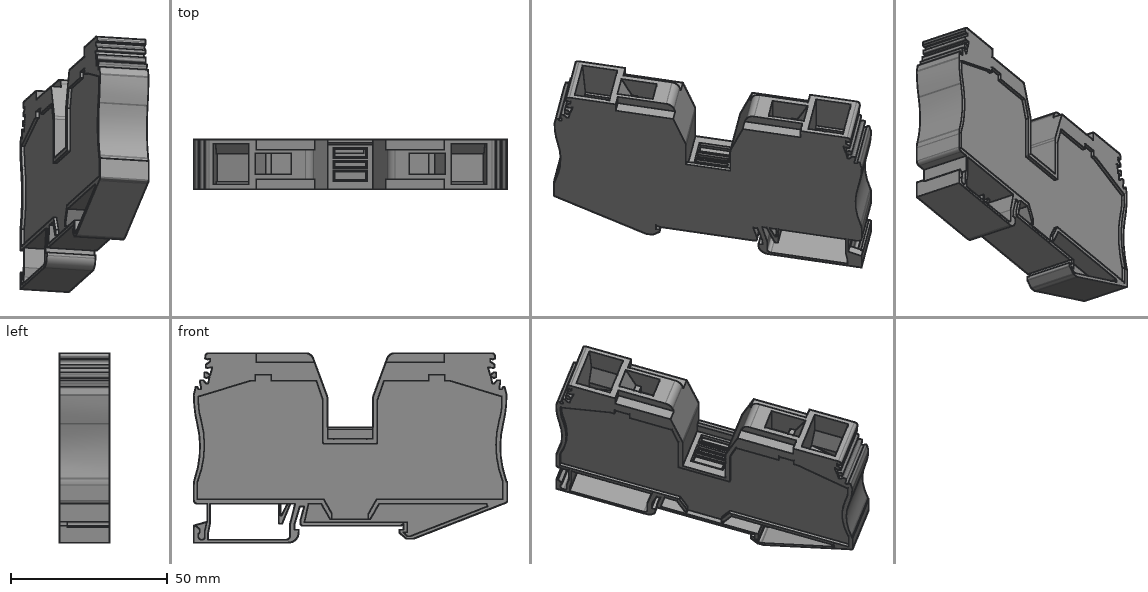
import cadquery as cq
import math

HALF_WIDTH = 49.9
SKIRT_X = 50.1
THICKNESS = 16.0
TOP_Z = 60.5
BODY_BOTTOM = 12.4
OVERLAP = 1.0

NOTCH_HALF = 7.2
DECK_Z = 33.1
SLANT_Z = 46.4
SHOULDER_X = 12.4
SHOULDER_RADIUS = 2.7

WAIST_X = 46.7
WAIST_Z = 29.2
WAIST_LOW_Z = 19.5
WAIST_HIGH_Z = 42.5
WAIST_RADIUS = 31.5
LOWER_BULGE_RADIUS = 6.0
UPPER_BULGE_RADIUS = 38.0
INNER_BULGE_RADIUS = 19.0

RIM = 1.2
UPPER_RIM = 1.5
WAIST_RIM = 1.7
NOTCH_RIM = 1.5
RECESS_DEPTH = 1.0
RECESS_BOTTOM = 13.8
RECESS_TOP = 51.7
TAB_TOP = 53.6
TAB_OUTER = 30.2
TAB_INNER = 25.1
PLATE_FOOT_Z = 7.5

POCKET_DEPTH = 6.4
BASE_BOTTOM = 5.4
BASE_FLOOR = 6.6
CLAW_TIP_Z = 4.2
SLOT_TOP = 11.5

STRIP_HEIGHT = 1.0
LIP_Z = 5.5
LEG_OUTER = 45.6
LEG_INNER = 44.7
GROOVE_END_Y = 13.5

FIN_FRONT = 8.0
FIN_OVERLAP = 0.2

LEDGE_OUTER = 30.0
LEDGE_WIDTH = 3.3
LEDGE_Z = 57.5

WIRE_OUTER = 43.6
WIRE_INNER = 32.3
WIRE_FRONT = 1.6
WIRE_BACK = 14.6
WIRE_SIDE_TAPER = 1.2
WIRE_BORE_FRONT = 2.5
WIRE_BORE_BACK = 11.4
WIRE_BACK_TAPER_TOP = 8.7
WIRE_BACK_TAPER_END = 12.9
WIRE_LEDGE_DEPTH = 12.5
WIRE_LEDGE_DROP = 0.1
WIRE_DEPTH = 16.0
WIRE_FLOOR_TILT = math.radians(17)

DRIVER_OUTER = 30.3
DRIVER_INNER = 18.8
DRIVER_FRONT = 4.9
DRIVER_BACK = 11.5
DRIVER_SLOPE_WIDTH = 3.4
DRIVER_SLOPE_DEPTH = 7.0
DRIVER_LEDGE_WIDTH = 1.8
DRIVER_DEPTH = 10.0

RAIL_FRONT = 14.2
RAIL_Z = 36.9
RAIL_CHAMFER = 0.7
BRIDGE_HALF = 5.4
BRIDGE_DEPTH = 1.5
BRIDGE_CHAMFER = 0.5
BRIDGE_SPANS = [(2.6, 6.2), (6.8, 9.2), (9.9, 13.3)]
BRIDGE_STEP_Y = 11.6
BRIDGE_STEP_X = 4.4
BRIDGE_STEP_HEIGHT = 0.8


def rounded_wire(plane, corners):
    """Closed outline through (u, v) corners; a corner given as (u, v, r) is rounded to radius r."""
    path = []
    for index, corner in enumerate(corners):
        here = cq.Vector(corner[0], corner[1])
        if len(corner) == 2:
            path.append((here,))
            continue
        before = corners[index - 1]
        after = corners[(index + 1) % len(corners)]
        to_before = (cq.Vector(before[0], before[1]) - here).normalized()
        to_after = (cq.Vector(after[0], after[1]) - here).normalized()
        half_angle = to_before.getAngle(to_after) / 2
        radius = corner[2]
        setback = radius / math.tan(half_angle)
        bisector = (to_before + to_after).normalized()
        middle = here + bisector * (radius / math.sin(half_angle) - radius)
        path.append((here + to_before * setback, middle, here + to_after * setback))

    outline = cq.Workplane(plane).moveTo(path[0][-1].x, path[0][-1].y)
    for stop in path[1:] + path[:1]:
        outline = outline.lineTo(stop[0].x, stop[0].y)
        if len(stop) == 3:
            outline = outline.threePointArc((stop[1].x, stop[1].y), (stop[2].x, stop[2].y))
    return outline.close()


def prism_y(corners, front, back):
    """Solid with an X-Z outline, running from Y = front to Y = back."""
    return rounded_wire("XZ", corners).extrude(-(back - front)).translate((0, front, 0))


def prism_x(corners, left, right):
    """Solid with a Y-Z outline, running from X = left to X = right."""
    return rounded_wire("YZ", corners).extrude(right - left).translate((left, 0, 0))


def box(left, right, front, back, bottom, top):
    block = cq.Workplane("XY").box(right - left, back - front, top - bottom, centered=False)
    return block.translate((left, front, bottom))


def both_sides(left_half):
    return left_half.union(left_half.mirror("YZ"))


def main_body():
    grip_teeth = [
        (-49.3, 49.7, 0.3),
        (-48.7, 49.7, 0.3),
        (-48.4, 49.0),
        (-47.5, 49.0, 0.3),
        (-47.9, 51.0),
        (-47.9, 51.9, 0.4),
        (-46.9, 51.9, 0.4),
        (-45.8, 50.7, 0.3),
        (-45.3, 50.9),
        (-44.9, 52.9),
        (-45.8, 52.5, 0.3),
        (-46.6, 52.8, 0.3),
        (-46.6, 54.4, 0.5),
        (-45.8, 54.4, 0.3),
        (-44.7, 53.4),
        (-44.0, 55.9),
        (-45.6, 55.7),
        (-46.1, 55.9, 0.2),
        (-46.1, 56.8),
        (-44.7, 57.8, 0.3),
        (-44.7, 58.7),
        (-45.5, 58.4),
        (-46.3, 58.8),
    ]
    end_face = [
        (-HALF_WIDTH, BODY_BOTTOM, 1.2),
        (-HALF_WIDTH, WAIST_LOW_Z, LOWER_BULGE_RADIUS),
        (-WAIST_X, WAIST_Z, WAIST_RADIUS),
        (-HALF_WIDTH, WAIST_HIGH_Z, UPPER_BULGE_RADIUS),
        (-HALF_WIDTH, 47.3),
    ]
    top_and_notch = [
        (-46.1, TOP_Z, 1.1),
        (-SHOULDER_X, TOP_Z, SHOULDER_RADIUS),
        (-NOTCH_HALF, SLANT_Z, 3.0),
        (-NOTCH_HALF, DECK_Z),
        (0, DECK_Z),
        (0, BODY_BOTTOM),
    ]
    return both_sides(prism_y(end_face + grip_teeth + top_and_notch, 0, THICKNESS))


def rail_base():
    corners = [
        (-13.5, BODY_BOTTOM + OVERLAP),
        (-17.2, BODY_BOTTOM + OVERLAP),
        (-17.2, SLOT_TOP),
        (-14.7, SLOT_TOP),
        (-15.9, 7.2),
        (-15.9, BASE_BOTTOM, 0.8),
        (16.1, BASE_BOTTOM),
        (17.0, 6.0),
        (17.0, CLAW_TIP_Z),
        (15.7, CLAW_TIP_Z),
        (15.7, 3.1, 0.3),
        (18.0, 1.2, 0.5),
        (20.1, 1.2, 1.5),
        (SKIRT_X, 12.9, 0.6),
        (SKIRT_X, WAIST_LOW_Z),
        (45.0, WAIST_LOW_Z),
        (45.0, BODY_BOTTOM + OVERLAP),
    ]
    return prism_y(corners, 0, THICKNESS)


def base_pocket():
    corners = [
        (-14.6, BASE_FLOOR),
        (-13.3, BODY_BOTTOM),
        (-9.2, BODY_BOTTOM),
        (-6.4, PLATE_FOOT_Z),
        (6.4, PLATE_FOOT_Z),
        (9.2, BODY_BOTTOM),
        (43.5, BODY_BOTTOM),
        (43.8, 11.6),
        (19.2, 2.1, 0.8),
        (18.2, 2.1),
        (17.0, 3.3),
        (18.2, 3.3),
        (18.2, BASE_FLOOR),
    ]
    return prism_y(corners, 0, POCKET_DEPTH)


def face_recess():
    rim_x = HALF_WIDTH - RIM
    upper_rim_x = HALF_WIDTH - UPPER_RIM
    notch_rim_x = NOTCH_HALF + NOTCH_RIM
    notch_rim_z = DECK_Z - NOTCH_RIM
    corners = [
        (0, PLATE_FOOT_Z),
        (-5.8, PLATE_FOOT_Z),
        (-5.8, 9.2),
        (-8.4, RECESS_BOTTOM),
        (-rim_x, RECESS_BOTTOM),
        (-rim_x, WAIST_LOW_Z),
        (-WAIST_X + WAIST_RIM, WAIST_Z, WAIST_RADIUS),
        (-upper_rim_x, WAIST_HIGH_Z, INNER_BULGE_RADIUS),
        (-upper_rim_x, 46.6),
        (-31.7, RECESS_TOP),
        (-TAB_OUTER, RECESS_TOP),
        (-TAB_OUTER, TAB_TOP),
        (-TAB_INNER, TAB_TOP),
        (-TAB_INNER, RECESS_TOP),
        (-10.8, RECESS_TOP),
        (-notch_rim_x, 45.6),
        (-notch_rim_x, notch_rim_z, 0.4),
        (0, notch_rim_z),
    ]
    return both_sides(prism_y(corners, 0, RECESS_DEPTH))


def spring_foot():
    groove_side = LEG_OUTER + 0.2
    groove_top = LIP_Z + 2.5
    outer = [
        (-LEG_OUTER, BODY_BOTTOM + OVERLAP),
        (-LEG_OUTER, 6.7),
        (-HALF_WIDTH, LIP_Z),
        (-HALF_WIDTH, 0),
        (-19.8, 0),
        (-16.4, 0, 3.3),
        (-16.4, CLAW_TIP_Z),
        (-17.7, CLAW_TIP_Z),
        (-17.7, 6.0),
        (-15.9, 12.0),
        (-15.9, BODY_BOTTOM + OVERLAP),
    ]
    window = [
        (-LEG_INNER, BODY_BOTTOM),
        (-LEG_INNER, 6.0),
        (-45.3, 3.0),
        (-45.3, STRIP_HEIGHT),
        (-19.2, STRIP_HEIGHT, 1.2),
        (-19.2, 6.0),
        (-17.6, BODY_BOTTOM),
    ]
    groove = [
        (-HALF_WIDTH, groove_top),
        (-HALF_WIDTH, 5.0),
        (-49.2, 5.4),
        (-48.0, 4.3),
        (-48.0, 3.3),
        (-48.4, 2.8),
        (-48.4, STRIP_HEIGHT, 0.9),
        (-46.3, STRIP_HEIGHT, 0.9),
        (-46.3, 4.0),
        (-groove_side, 6.3),
        (-groove_side, groove_top),
    ]
    foot = prism_y(outer, 0, THICKNESS)
    foot = foot.cut(prism_y(window, 0, THICKNESS))
    return foot.cut(prism_y(groove, 0, GROOVE_END_Y))


def stop_fin():
    outer = [
        (-22.8, BODY_BOTTOM + FIN_OVERLAP),
        (-22.8, 6.0, 0.5),
        (-21.7, 6.0, 0.5),
        (-19.0, BODY_BOTTOM + FIN_OVERLAP),
    ]
    hollow = [(-22.2, BODY_BOTTOM), (-22.2, 8.7), (-21.9, 8.7), (-20.0, BODY_BOTTOM)]
    return prism_y(outer, FIN_FRONT, THICKNESS).cut(prism_y(hollow, FIN_FRONT, THICKNESS))


def shoulder_ledges():
    front_ledge = box(-LEDGE_OUTER, 0, 0, LEDGE_WIDTH, LEDGE_Z, TOP_Z)
    back_ledge = front_ledge.translate((0, THICKNESS - LEDGE_WIDTH, 0))
    return both_sides(front_ledge.union(back_ledge))


def wire_funnels():
    bore_outer = WIRE_OUTER - WIRE_SIDE_TAPER
    floor_rise = (bore_outer - WIRE_INNER) * math.tan(WIRE_FLOOR_TILT)
    floor_z = TOP_Z - WIRE_DEPTH
    ledge_z = TOP_Z - WIRE_LEDGE_DEPTH
    side_shape = [
        (-WIRE_INNER, TOP_Z),
        (-WIRE_OUTER, TOP_Z),
        (-bore_outer, floor_z),
        (-WIRE_INNER, floor_z + floor_rise),
    ]
    cross_shape = [
        (WIRE_FRONT, TOP_Z),
        (WIRE_BACK, TOP_Z),
        (WIRE_BACK, TOP_Z - WIRE_BACK_TAPER_TOP),
        (WIRE_BORE_BACK, TOP_Z - WIRE_BACK_TAPER_END),
        (WIRE_BORE_BACK, floor_z),
        (WIRE_BORE_FRONT, floor_z),
        (WIRE_BORE_FRONT, ledge_z - WIRE_LEDGE_DROP),
        (WIRE_FRONT, ledge_z),
    ]
    funnel = prism_y(side_shape, 0, THICKNESS).intersect(prism_x(cross_shape, -HALF_WIDTH, 0))
    return both_sides(funnel)


def driver_openings():
    slope_x = DRIVER_OUTER - DRIVER_SLOPE_WIDTH
    ledge_x = slope_x - DRIVER_LEDGE_WIDTH
    slope_z = TOP_Z - DRIVER_SLOPE_DEPTH
    floor_z = TOP_Z - DRIVER_DEPTH
    corners = [
        (-DRIVER_OUTER, TOP_Z),
        (-slope_x, slope_z),
        (-ledge_x, slope_z),
        (-ledge_x, floor_z),
        (-DRIVER_INNER, floor_z),
        (-DRIVER_INNER, TOP_Z),
    ]
    return both_sides(prism_y(corners, DRIVER_FRONT, DRIVER_BACK))


def deck_rail():
    corners = [
        (RAIL_FRONT, DECK_Z - OVERLAP),
        (RAIL_FRONT, RAIL_Z - RAIL_CHAMFER),
        (RAIL_FRONT + RAIL_CHAMFER, RAIL_Z),
        (THICKNESS, RAIL_Z),
        (THICKNESS, DECK_Z - OVERLAP),
    ]
    return prism_x(corners, -NOTCH_HALF - OVERLAP, NOTCH_HALF + OVERLAP)


def bridge_slots():
    floor_z = DECK_Z - BRIDGE_DEPTH
    slots = cq.Workplane("XY")
    for front, back in BRIDGE_SPANS:
        mouth = cq.Workplane("XY", origin=(0, (front + back) / 2, DECK_Z))
        mouth = mouth.rect(2 * BRIDGE_HALF, back - front).extrude(-BRIDGE_CHAMFER, taper=45)
        slots = slots.add(mouth.faces("<Z").wires().toPending().extrude(floor_z - DECK_Z + BRIDGE_CHAMFER))
    last_back = BRIDGE_SPANS[-1][1]
    step = box(-BRIDGE_HALF, BRIDGE_STEP_X, BRIDGE_STEP_Y, last_back, floor_z, floor_z + BRIDGE_STEP_HEIGHT)
    return slots.combine().cut(step)


result = main_body().union(rail_base()).union(spring_foot()).union(stop_fin()).union(deck_rail())
for cavity in (face_recess, base_pocket, shoulder_ledges, wire_funnels, driver_openings, bridge_slots):
    result = result.cut(cavity())